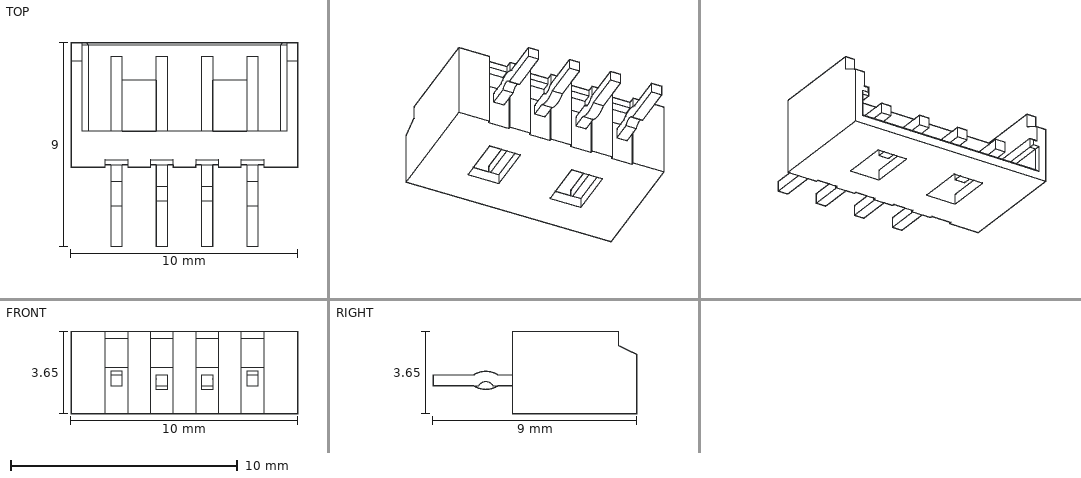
import cadquery as cq

length = 10.0
depth = 5.5
height = 3.65
side_wall = 0.47
cavity_width = length - 2 * side_wall
front_wall = 1.6
floor_height = 0.5

shoulder_run = 0.81
shoulder_top = 3.02
shoulder_bottom = 2.63

rail_width = 0.3
rail_bottom = 1.55
rail_top = 2.0

mouth_chamfer = 0.11

pin_pitch = 2.0
pin_count = 4
pin_positions = [(i - (pin_count - 1) / 2) * pin_pitch for i in range(pin_count)]

pin_width = 0.5
pin_bottom = 1.24
pin_top = 1.73
pin_front = -3.5
pin_rear = 4.9
bend_center = -1.17
outer_bend_half = 0.54
outer_bend_rise = 0.16
inner_bend_half = 0.32
inner_bend_rise = 0.19

groove_width = 1.0
groove_depth = 0.11
pocket_depth = 0.75
pocket_bottom = 2.05
pocket_top = 3.33
notch_depth = 0.33

window_width = 1.5
window_rear = 3.85
window_center = pin_pitch


def box(x_center, width, y_range, z_range):
    """Axis-aligned block given its X centre and width and its Y and Z limits."""
    y_min, y_max = y_range
    z_min, z_max = z_range
    block = cq.Workplane("XY").box(width, y_max - y_min, z_max - z_min, centered=(True, False, False))
    return block.translate((x_center, y_min, z_min))


def extrude_along_x(outline, x_center, width):
    """Extrude a closed YZ outline symmetrically about the given X position."""
    return outline.extrude(width / 2, both=True).translate((x_center, 0, 0))


def make_housing():
    """Front wall, floor and two side walls, open at the top and the rear."""
    outline = (
        cq.Workplane("YZ")
        .polyline([
            (0, 0),
            (depth, 0),
            (depth, shoulder_bottom),
            (depth - shoulder_run, shoulder_top),
            (depth - shoulder_run, height),
            (0, height),
        ])
        .close()
    )
    body = extrude_along_x(outline, 0, length)

    cavity = box(0, cavity_width, (front_wall, depth), (floor_height, height))
    return body.cut(cavity)


def make_rail(side):
    """Guide rail on the inside of one side wall; side is -1 or +1."""
    x_center = side * (cavity_width - rail_width) / 2
    return box(x_center, rail_width, (front_wall, depth), (rail_bottom, rail_top))


def chamfer_mouth(body):
    """Chamfer the rear edges of the floor, the lower side walls and the rails."""
    margin = 0.01
    half_width = cavity_width / 2 + margin
    mouth_edges = cq.selectors.BoxSelector(
        (-half_width, depth - margin, floor_height - margin),
        (half_width, depth + margin, rail_top + margin),
    )
    return body.edges(mouth_edges).chamfer(mouth_chamfer)


def make_groove(x_center):
    """Full-height shallow groove with a deep pocket and a notch above it."""
    shallow = box(x_center, groove_width, (0, groove_depth), (0, height))
    pocket = box(x_center, groove_width, (0, pocket_depth), (pocket_bottom, pocket_top))
    notch = box(x_center, groove_width, (0, notch_depth), (pocket_top, height))
    return shallow.union(pocket).union(notch)


def make_pin(x_center, bends_up):
    """Square pin through the front wall with one arched bend outside the housing."""
    outline = (
        cq.Workplane("YZ")
        .moveTo(pin_front, pin_bottom)
        .lineTo(bend_center - inner_bend_half, pin_bottom)
        .threePointArc(
            (bend_center, pin_bottom + inner_bend_rise),
            (bend_center + inner_bend_half, pin_bottom),
        )
        .lineTo(pin_rear, pin_bottom)
        .lineTo(pin_rear, pin_top)
        .lineTo(bend_center + outer_bend_half, pin_top)
        .threePointArc(
            (bend_center, pin_top + outer_bend_rise),
            (bend_center - outer_bend_half, pin_top),
        )
        .lineTo(pin_front, pin_top)
        .close()
    )
    pin = extrude_along_x(outline, x_center, pin_width)
    if bends_up:
        return pin
    return pin.mirror("XY", (0, 0, (pin_bottom + pin_top) / 2))


result = make_housing()

for side in (-1, 1):
    result = result.union(make_rail(side))
result = chamfer_mouth(result)

for side in (-1, 1):
    window = box(side * window_center, window_width, (front_wall, window_rear), (0, floor_height))
    result = result.cut(window)

for x_center in pin_positions:
    result = result.cut(make_groove(x_center))

for x_center in pin_positions:
    is_end_pin = abs(x_center) > pin_pitch
    result = result.union(make_pin(x_center, is_end_pin))